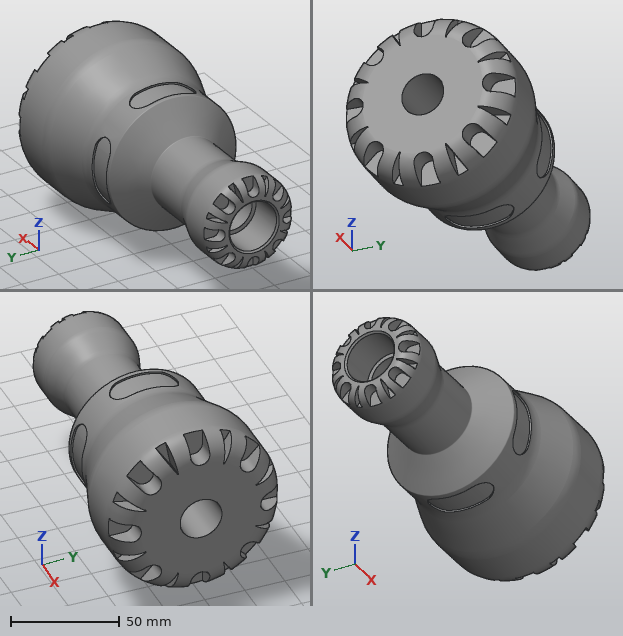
import cadquery as cq
import math

LENGTH = 151.0

HEAD_RADIUS = 47.0 / 2
NECK_RADIUS = 37.6 / 2
COLLAR_RADIUS = 68.0 / 2
BELL_RADIUS = 85.0 / 2

HEAD_RIM_ROUND = 7.9
BELL_RIM_ROUND = 12.5

HEAD_SLOPE_MIDDLE = 27.8
BELL_SLOPE_MIDDLE = 106.0
SLOPE_ANGLE = math.radians(20)
HEAD_BLEND_RADIUS = 9.4
BELL_BLEND_RADIUS = 16.3

SHOULDER_START = 61.5
SHOULDER_END = 74.0
SHOULDER_BLEND_RADIUS = 0.8

BORE_RADIUS = 20.8 / 2
ENTRY_RADIUS = 25.0 / 2
ENTRY_DEPTH = 19.6
ENTRY_CHAMFER = 0.9

NOTCH_COUNT = 8
HEAD_NOTCH_LENGTH = 6.0
HEAD_SLOT_WIDTH = 6.0
HEAD_GROOVE_WIDTH = 3.0
BELL_NOTCH_LENGTH = 9.8
BELL_SLOT_WIDTH = 9.5
BELL_GROOVE_WIDTH = 5.5
GROOVE_FLOOR_WIDTH = 0.3
NOTCH_FLOOR_DROP = 0.2

POCKET_COUNT = 4
POCKET_MIDDLE = 83.0
POCKET_WIDTH = 13.0
POCKET_LENGTH = 33.4
POCKET_DEPTH = 0.9

CUTTER_MARGIN = 1.5

SEAM_ANGLE = 12


def slope_corners(middle, start_radius, end_radius):
    """Sharp corners of a transition with the standard slope angle."""
    half_run = abs(end_radius - start_radius) / math.tan(SLOPE_ANGLE) / 2
    return (middle - half_run, start_radius), (middle + half_run, end_radius)


def add_blended_corner(profile, before, corner, after, blend_radius):
    """Draw a line to the corner and round it with an arc tangent to both sides."""
    corner = cq.Vector(*corner)
    to_before = (cq.Vector(*before) - corner).normalized()
    to_after = (cq.Vector(*after) - corner).normalized()
    setback = blend_radius / math.tan(to_before.getAngle(to_after) / 2)
    arc_start = corner + to_before * setback
    arc_end = corner + to_after * setback
    return profile.lineTo(arc_start.x, arc_start.y).tangentArcPoint((arc_end.x, arc_end.y), relative=False)


def make_body():
    """Revolved solid outer shape."""
    head_corners = slope_corners(HEAD_SLOPE_MIDDLE, HEAD_RADIUS, NECK_RADIUS)
    bell_corners = slope_corners(BELL_SLOPE_MIDDLE, COLLAR_RADIUS, BELL_RADIUS)
    path = [
        (0, 0),
        (0, HEAD_RADIUS),
        *head_corners,
        (SHOULDER_START, NECK_RADIUS),
        (SHOULDER_END, COLLAR_RADIUS),
        *bell_corners,
        (LENGTH, BELL_RADIUS),
        (LENGTH, 0),
    ]
    blends = [
        HEAD_RIM_ROUND,
        HEAD_BLEND_RADIUS,
        HEAD_BLEND_RADIUS,
        SHOULDER_BLEND_RADIUS,
        SHOULDER_BLEND_RADIUS,
        BELL_BLEND_RADIUS,
        BELL_BLEND_RADIUS,
        BELL_RIM_ROUND,
    ]
    profile = cq.Workplane("XY").moveTo(*path[0])
    for before, corner, after, blend in zip(path, path[1:], path[2:], blends):
        profile = add_blended_corner(profile, before, corner, after, blend)
    body = profile.lineTo(*path[-1]).close().revolve(360, (0, 0, 0), (1, 0, 0))
    return body.rotate((0, 0, 0), (1, 0, 0), SEAM_ANGLE)


def make_bore():
    """Through bore, wider and chamfered at the head end."""
    return (
        cq.Workplane("XY")
        .lineTo(0, ENTRY_RADIUS + ENTRY_CHAMFER)
        .lineTo(ENTRY_CHAMFER, ENTRY_RADIUS)
        .lineTo(ENTRY_DEPTH, ENTRY_RADIUS)
        .lineTo(ENTRY_DEPTH, BORE_RADIUS)
        .lineTo(LENGTH, BORE_RADIUS)
        .lineTo(LENGTH, 0)
        .close()
        .revolve(360, (0, 0, 0), (1, 0, 0))
    )


def cut_notches(body, start, length, outer_radius, rim_round, slot_width, groove_width):
    """Cut the ring of slots and V grooves into one rim; their floors lie just inside the flat end face."""
    floor_radius = outer_radius - rim_round - NOTCH_FLOOR_DROP
    cutter_top = outer_radius + CUTTER_MARGIN
    arc_center = floor_radius + slot_width / 2
    slot = (
        cq.Workplane("YZ", origin=(start, 0, 0))
        .moveTo(-slot_width / 2, cutter_top)
        .lineTo(-slot_width / 2, arc_center)
        .threePointArc((0, floor_radius), (slot_width / 2, arc_center))
        .lineTo(slot_width / 2, cutter_top)
        .close()
        .extrude(length)
    )
    flare = (groove_width - GROOVE_FLOOR_WIDTH) / (outer_radius - floor_radius)
    groove_top = groove_width + flare * CUTTER_MARGIN
    groove = (
        cq.Workplane("YZ", origin=(start, 0, 0))
        .moveTo(-groove_top / 2, cutter_top)
        .lineTo(-GROOVE_FLOOR_WIDTH / 2, floor_radius)
        .lineTo(GROOVE_FLOOR_WIDTH / 2, floor_radius)
        .lineTo(groove_top / 2, cutter_top)
        .close()
        .extrude(length)
    )
    pitch = 360 / NOTCH_COUNT
    for index in range(NOTCH_COUNT):
        body = body.cut(slot.rotate((0, 0, 0), (1, 0, 0), index * pitch))
        body = body.cut(groove.rotate((0, 0, 0), (1, 0, 0), (index + 0.5) * pitch))
    return body


def cut_pockets(body):
    """Cut obround pockets whose floors follow the collar."""
    outline = (
        cq.Workplane("XY")
        .center(POCKET_MIDDLE, 0)
        .slot2D(POCKET_LENGTH, POCKET_WIDTH, 90)
        .extrude(COLLAR_RADIUS + CUTTER_MARGIN)
    )
    core = (
        cq.Workplane("YZ", origin=(POCKET_MIDDLE - POCKET_WIDTH, 0, 0))
        .circle(COLLAR_RADIUS - POCKET_DEPTH)
        .extrude(2 * POCKET_WIDTH)
    )
    pocket = outline.cut(core)
    for index in range(POCKET_COUNT):
        body = body.cut(pocket.rotate((0, 0, 0), (1, 0, 0), index * 360 / POCKET_COUNT))
    return body


result = make_body().cut(make_bore())
result = cut_notches(
    result, 0, HEAD_NOTCH_LENGTH, HEAD_RADIUS, HEAD_RIM_ROUND, HEAD_SLOT_WIDTH, HEAD_GROOVE_WIDTH
)
result = cut_notches(
    result,
    LENGTH - BELL_NOTCH_LENGTH,
    BELL_NOTCH_LENGTH,
    BELL_RADIUS,
    BELL_RIM_ROUND,
    BELL_SLOT_WIDTH,
    BELL_GROOVE_WIDTH,
)
result = cut_pockets(result)